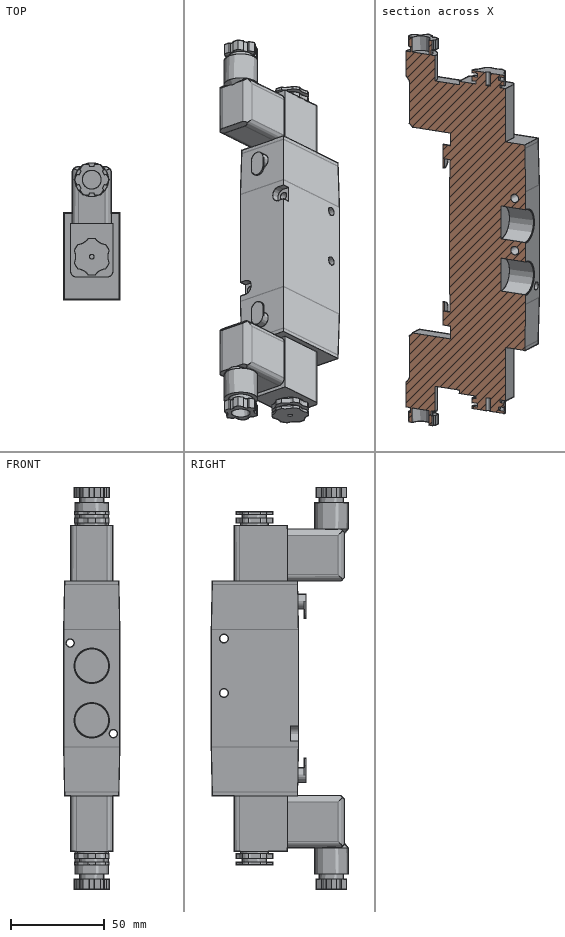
import math

import cadquery as cq


body_width = 30.0
body_depth = 46.5
body_half_height = 31.25
port_pitch = 29.0
port_diameter = 18.0
port_mouth_chamfer = 0.4
port_depth = 15.0
upper_port_z = 12.0
side_hole_diameter = 4.5
side_hole_y = 6.8
upper_side_hole_z = 26.5
face_hole_diameter = 4.2
face_hole_x = 11.5
face_hole_z = 24.1
slot_width = 8.0
slot_depth = 4.2

cap_inset = 0.5
cap_top_z = 57.2
cap_plate_thickness = 2.0
cap_plate_z = cap_top_z - cap_plate_thickness

override_diameter = 8.0
override_top_z = 50.2
override_length = 4.0
lever_length = 13.0
lever_thickness = 1.0

coil_width = 22.5
coil_front_y = 12.2
coil_back_y = 40.6
coil_top_z = 86.8
coil_fillet = 3.0

knob_y = 23.0
knob_radius = 9.8
knob_lobes = 6
scallop_radius = 8.0
scallop_depth = 1.2
knob_base_diameter = 15.0
knob_stem_diameter = 13.0
knob_bore_diameter = 2.5
lower_disc_z = 88.0
lower_disc_thickness = 2.7
upper_disc_z = 92.5
upper_disc_thickness = 1.5
knob_top_z = upper_disc_z + upper_disc_thickness

connector_width = 21.0
connector_back_y = 71.0
connector_bottom_z = 57.0
connector_top_z = 84.9
connector_fillet = 3.5
connector_end_chamfer = 2.0

gland_y = 64.0
sleeve_diameter = 18.0
sleeve_top_z = 98.9
sleeve_cone_height = 2.4
sleeve_cone_inset = 2.0
neck_diameter = 13.0
nut_bottom_z = 101.5
nut_top_z = 107.0
nut_corner_radius = 9.4
nut_sides = 6
nut_notch_floor_width = 2.2
nut_notch_mouth_width = 3.0
nut_notch_depth = 1.0
cable_bore_diameter = 10.0
cable_bore_depth = 8.0


def box(x_size, y_range, z_range):
    """Box centred on X = 0 between two Y values and two Z values."""
    y_low, y_high = y_range
    z_low, z_high = z_range
    block = cq.Workplane("XY").box(x_size, y_high - y_low, z_high - z_low, centered=(True, False, False))
    return block.translate((0, y_low, z_low))


def post(diameter, y, z_low, z_high):
    """Cylinder along Z on the plane X = 0."""
    return cq.Workplane("XY", origin=(0, y, z_low)).circle(diameter / 2).extrude(z_high - z_low)


def rod_along_y(diameter, x, z, y_low, y_high):
    """Cylinder along Y."""
    plane = cq.Plane(origin=(x, y_low, z), xDir=(1, 0, 0), normal=(0, 1, 0))
    return cq.Workplane(plane).circle(diameter / 2).extrude(y_high - y_low)


def make_body():
    body = box(body_width, (0, body_depth), (-body_half_height, body_half_height))
    for port_z in (upper_port_z, upper_port_z - port_pitch):
        port = rod_along_y(port_diameter, 0, port_z, 0, port_depth)
        mouth = cq.Solid.makeCone(
            port_diameter / 2 + port_mouth_chamfer,
            port_diameter / 2,
            port_mouth_chamfer,
            pnt=cq.Vector(0, 0, port_z),
            dir=cq.Vector(0, 1, 0),
        )
        body = body.cut(port).cut(mouth)
    for hole_z in (upper_side_hole_z, upper_side_hole_z - port_pitch):
        start = (-body_width / 2, side_hole_y, hole_z)
        hole = cq.Workplane("YZ", origin=start).circle(side_hole_diameter / 2).extrude(body_width)
        body = body.cut(hole)
    for side in (-1, 1):
        body = cut_face_hole(body, side)
    return body


def cut_face_hole(body, side):
    """Through hole along Y; its head seat on the back face is a slot open to the nearer side."""
    x = side * face_hole_x
    z = -side * face_hole_z
    slot_floor_y = body_depth - slot_depth
    open_length = body_width / 2 - face_hole_x
    hole = rod_along_y(face_hole_diameter, x, z, 0, body_depth)
    seat = rod_along_y(slot_width, x, z, slot_floor_y, body_depth)
    opening = cq.Workplane("XY").box(open_length, slot_depth, slot_width, centered=(True, False, True))
    opening = opening.translate((x + side * open_length / 2, slot_floor_y, z))
    return body.cut(hole).cut(seat).cut(opening)


def make_cap():
    plate_width = body_width - 2 * cap_inset
    drafted_block = (
        cq.Workplane("XY", origin=(0, body_depth / 2, body_half_height))
        .rect(body_width, body_depth)
        .workplane(offset=cap_plate_z - body_half_height)
        .rect(plate_width, body_depth - 2 * cap_inset)
        .loft(ruled=True)
    )
    plate = box(plate_width, (cap_inset, body_depth - cap_inset), (cap_plate_z, cap_top_z))
    return drafted_block.union(plate)


def make_override():
    """Round pin on the back of the cap with a thin lever pointing to the middle of the valve."""
    pin_z = override_top_z - override_diameter / 2
    pin_end_y = body_depth + override_length
    pin = rod_along_y(override_diameter, 0, pin_z, body_depth - 2 * cap_inset, pin_end_y)
    lever_z = override_top_z - lever_length / 2
    lever_plane = cq.Plane(origin=(0, pin_end_y, lever_z), xDir=(1, 0, 0), normal=(0, -1, 0))
    lever = cq.Workplane(lever_plane).slot2D(lever_length, override_diameter, 90).extrude(lever_thickness)
    return pin.union(lever)


def make_coil():
    coil = box(coil_width, (coil_front_y, coil_back_y), (cap_top_z, coil_top_z))
    return coil.edges("|Z and <Y").fillet(coil_fillet)


def make_scalloped_disc(z_low, thickness):
    """Disc with shallow scallops; a lobe points along Y."""
    disc = post(2 * knob_radius, knob_y, z_low, z_low + thickness)
    scallop_centre = knob_radius - scallop_depth + scallop_radius
    scallops = (
        cq.Workplane("XY", origin=(0, knob_y, z_low))
        .polarArray(scallop_centre, 0, 360, knob_lobes)
        .circle(scallop_radius)
        .extrude(thickness)
    )
    return disc.cut(scallops)


def make_coil_knob():
    base = post(knob_base_diameter, knob_y, coil_top_z, lower_disc_z)
    stem = post(knob_stem_diameter, knob_y, lower_disc_z, upper_disc_z)
    lower_disc = make_scalloped_disc(lower_disc_z, lower_disc_thickness)
    upper_disc = make_scalloped_disc(upper_disc_z, upper_disc_thickness)
    bore = post(knob_bore_diameter, knob_y, coil_top_z, knob_top_z)
    return base.union(stem).union(lower_disc).union(upper_disc).cut(bore)


def make_connector():
    z_range = (connector_bottom_z, connector_top_z)
    housing = box(connector_width, (coil_back_y, connector_back_y), z_range)
    for side in ("<X", ">X"):
        rounded_edges = housing.faces(side).edges("|Z and >Y or |Y")
        housing = rounded_edges.fillet(connector_fillet)
    for edge_z, inward in ((connector_bottom_z, 1), (connector_top_z, -1)):
        corner = (
            cq.Workplane("YZ")
            .moveTo(connector_back_y, edge_z)
            .lineTo(connector_back_y - connector_end_chamfer, edge_z)
            .lineTo(connector_back_y, edge_z + inward * connector_end_chamfer)
            .close()
            .extrude(connector_width / 2, both=True)
        )
        housing = housing.cut(corner)
    return housing


def make_gland_nut():
    """Hexagonal nut, corners along X, with a tapered notch in the middle of each side."""
    height = nut_top_z - nut_bottom_z
    flat_distance = nut_corner_radius * math.cos(math.pi / nut_sides)
    floor_distance = flat_distance - nut_notch_depth
    base_plane = cq.Workplane("XY", origin=(0, gland_y, nut_bottom_z))
    nut = base_plane.polygon(nut_sides, 2 * nut_corner_radius).extrude(height)
    notch = base_plane.polyline(
        [
            (-nut_notch_floor_width / 2, floor_distance),
            (nut_notch_floor_width / 2, floor_distance),
            (nut_notch_mouth_width / 2, flat_distance),
            (-nut_notch_mouth_width / 2, flat_distance),
        ]
    ).close().extrude(height)
    for index in range(nut_sides):
        angle = index * 360 / nut_sides
        nut = nut.cut(notch.rotate((0, gland_y, 0), (0, gland_y, 1), angle))
    return nut


def make_gland():
    sleeve_radius = sleeve_diameter / 2
    cone = cq.Workplane(
        cq.Solid.makeCone(
            sleeve_radius - sleeve_cone_inset,
            sleeve_radius,
            sleeve_cone_height,
            pnt=cq.Vector(0, gland_y, connector_top_z - sleeve_cone_height),
        )
    )
    sleeve = post(sleeve_diameter, gland_y, connector_top_z, sleeve_top_z)
    neck = post(neck_diameter, gland_y, sleeve_top_z, nut_bottom_z)
    return cone.union(sleeve).union(neck).union(make_gland_nut())


def make_end():
    cap = make_cap().union(make_override())
    coil = make_coil().union(make_coil_knob())
    connector = make_connector().union(make_gland())
    cable_bore = post(cable_bore_diameter, gland_y, nut_top_z - cable_bore_depth, nut_top_z)
    return cap.union(coil).union(connector).cut(cable_bore)


upper_end = make_end()
lower_end = upper_end.mirror("XY")
result = make_body().union(upper_end).union(lower_end)